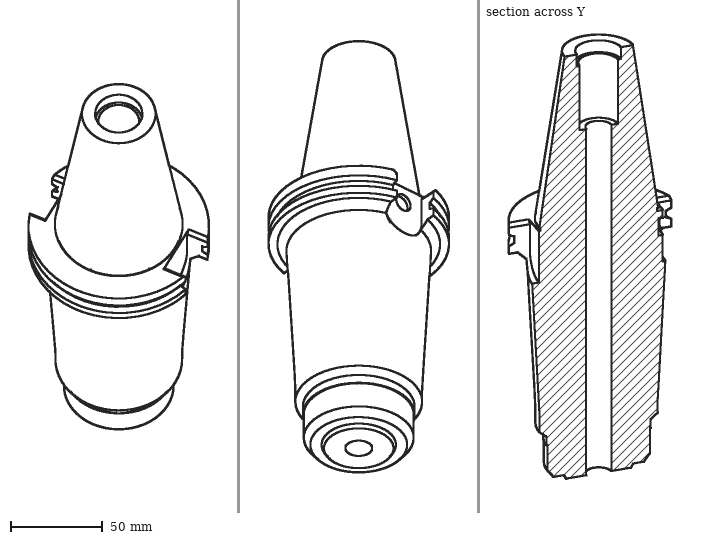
import cadquery as cq

length = 256.5
gauge_z = 154.9
flange_top = 153.3
flange_bottom = 135.5
shoulder_bottom = 130.8
body_cone_bottom = 39.2
body_bottom = 30.8
collar_top = 27.5
collar_bottom = 22.3
nose_chamfer_top = 7.0
nose_face = 2.3

taper_ratio = 7 / 24
gauge_radius = 34.9
taper_top_radius = gauge_radius - (length - gauge_z) * taper_ratio / 2
neck_radius = 34.0
flange_radius = 49.2
shoulder_radius = 44.4
body_top_radius = 39.5
body_bottom_radius = 34.5
collar_radius = 30.5
nose_radius = 30.0
nose_face_radius = 26.5
pilot_radius = 20.3
pilot_end_radius = 19.0

groove_top = 147.0
groove_bottom = 140.0
groove_flank_height = 1.5
groove_radius = 46.2

counterbore_radius = 12.8
counterbore_depth = 7.2
thread_radius = 11.15
thread_depth = 46.2
coolant_radius = 7.3

slot_half_width = 13.0
slot_bottom = 122.0
slot_chamfer = 2.0
left_floor = 37.5
right_floor = 35.0
pin_hole_radius = 5.0
pin_hole_depth = 2.5
pin_hole_z = 143.3


def holder_body():
    """Revolve the tapered shank, grooved flange, body and nose."""
    profile = [
        (0, 0),
        (pilot_end_radius, 0),
        (pilot_radius, nose_face),
        (nose_face_radius, nose_face),
        (nose_radius, nose_chamfer_top),
        (nose_radius, collar_bottom),
        (collar_radius, collar_bottom),
        (collar_radius, collar_top),
        (body_bottom_radius, body_bottom),
        (body_bottom_radius, body_cone_bottom),
        (body_top_radius, shoulder_bottom),
        (shoulder_radius, flange_bottom),
        (flange_radius, flange_bottom),
        (flange_radius, groove_bottom),
        (groove_radius, groove_bottom + groove_flank_height),
        (groove_radius, groove_top - groove_flank_height),
        (flange_radius, groove_top),
        (flange_radius, flange_top),
        (neck_radius, flange_top),
        (neck_radius, gauge_z),
        (gauge_radius, gauge_z),
        (taper_top_radius, length),
        (0, length),
    ]
    return cq.Workplane("XZ").polyline(profile).close().revolve(360, (0, 0), (0, 1))


def drive_slot(floor, side):
    """Round-ended slot cutter with a chamfered mouth; side is -1 or +1 along X."""
    arc_z = slot_bottom + slot_half_width
    mouth_half_width = slot_half_width + slot_chamfer
    return (
        cq.Workplane("YZ", origin=(side * floor, 0, 0))
        .moveTo(-slot_half_width, arc_z)
        .threePointArc((0, slot_bottom), (slot_half_width, arc_z))
        .lineTo(slot_half_width, flange_top - slot_chamfer)
        .lineTo(mouth_half_width, flange_top)
        .lineTo(-mouth_half_width, flange_top)
        .lineTo(-slot_half_width, flange_top - slot_chamfer)
        .close()
        .extrude(side * flange_radius)
    )


def cut_bore(part):
    """Cut the coaxial bore steps down from the small end of the taper."""
    steps = [
        (counterbore_radius, counterbore_depth),
        (thread_radius, thread_depth),
        (coolant_radius, length),
    ]
    for radius, depth in steps:
        part = part.cut(cq.Workplane("XY", origin=(0, 0, length)).circle(radius).extrude(-depth))
    return part


def pin_hole():
    """Shallow blind hole in the floor of the -X slot."""
    return (
        cq.Workplane("YZ", origin=(-left_floor, 0, pin_hole_z))
        .circle(pin_hole_radius)
        .extrude(pin_hole_depth)
    )


result = cut_bore(holder_body())
result = result.cut(drive_slot(left_floor, -1)).cut(drive_slot(right_floor, 1))
result = result.cut(pin_hole())